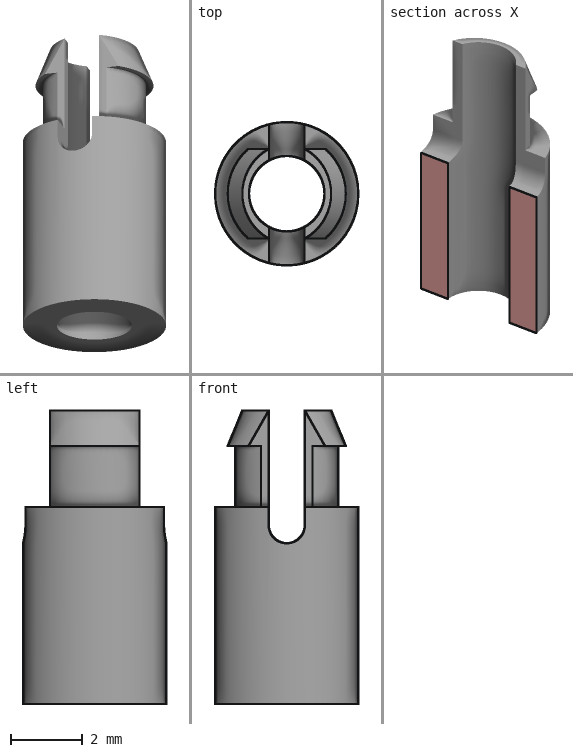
import cadquery as cq

total_height = 8.2
body_height = 5.5
barb_height = 1.0
barb_base = total_height - barb_height

body_diameter = 4.0
bore_diameter = 2.1
post_diameter = 2.89
barb_diameter = 3.3
tip_width = 2.48
post_thickness = 2.51

slot_width = 1.0
slot_floor = 4.49

half_thickness = post_thickness / 2
slot_radius = slot_width / 2


def arm_outline(plane, corner_x, crest_x):
    """Half section with flat sides, closed by an arc from corner to corner through the crest."""
    return (
        plane.moveTo(0, -half_thickness)
        .lineTo(corner_x, -half_thickness)
        .threePointArc((crest_x, 0), (corner_x, half_thickness))
        .lineTo(0, half_thickness)
        .close()
    )


def make_barb():
    """Ruled ramp on the +X arm; its upper arc starts at the slot edge."""
    crest = barb_diameter / 2
    base_corner = (crest**2 - half_thickness**2) ** 0.5
    base = arm_outline(cq.Workplane("XY", origin=(0, 0, barb_base)), base_corner, crest)
    tip = arm_outline(base.workplane(offset=barb_height), slot_radius, tip_width / 2)
    return tip.loft(ruled=True, combine=True)


def make_post():
    """Round post trimmed by two flats parallel to XZ."""
    post_height = total_height - body_height
    post = cq.Workplane("XY", origin=(0, 0, body_height)).circle(post_diameter / 2).extrude(post_height)
    flats = cq.Workplane("XY").box(body_diameter, post_thickness, 2 * total_height)
    barb_limit = cq.Workplane("XY").box(body_diameter, body_diameter, 2 * barb_base)
    return post.intersect(flats).intersect(barb_limit)


def make_slot():
    """Round-bottomed slot running through along Y and open at the top."""
    arc_center = slot_floor + slot_radius
    return (
        cq.Workplane("XZ")
        .moveTo(-slot_radius, total_height)
        .lineTo(-slot_radius, arc_center)
        .threePointArc((0, slot_floor), (slot_radius, arc_center))
        .lineTo(slot_radius, total_height)
        .close()
        .extrude(body_diameter, both=True)
    )


body = cq.Workplane("XY").circle(body_diameter / 2).extrude(body_height)
bore = cq.Workplane("XY").circle(bore_diameter / 2).extrude(total_height)
barb = make_barb()

result = body.union(make_post()).union(barb).union(barb.mirror("YZ"))
result = result.cut(bore).cut(make_slot())